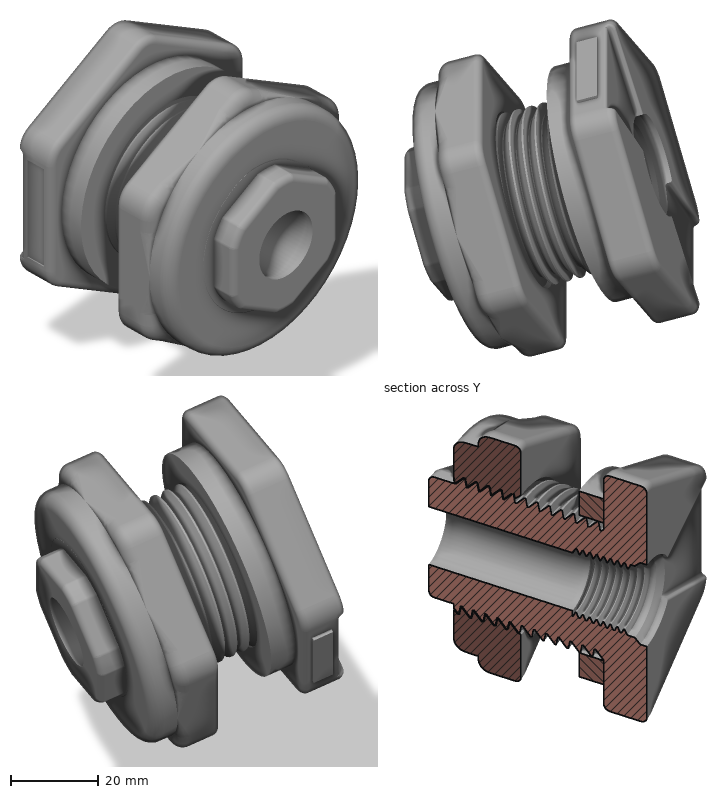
import cadquery as cq
import math


total_length = 55.9
across_flats = 63.0
across_corners = 70.8

head_end = 11.1
gasket_end = 17.4
nut_start = 32.2
nut_hex_end = 43.25
nut_end = 49.55

edge_fillet = 1.7
gasket_diameter = 55.9
gasket_bore = 41.25

thread_root_diameter = 36.3
thread_crest_diameter = 41.1
thread_pitch = 3.1
thread_crest_width = 0.4
thread_steep_flank = 0.4
thread_slope_flank = 2.1
thread_top_crest = 18.75
thread_clearance = 0.1
stem_end_flats = 33.8
stem_corner_fillet = 1.4
stem_end_fillet = 1.55

ridge_embed = 0.15

bore_diameter = 17.3
mouth_diameter = 24.4
mouth_cone_depth = 1.4
pipe_root_diameter = 21.4
pipe_pitch = 1.8
pipe_turns = 9
pipe_ridge_height = 1.5
pipe_crest_width = 0.2
pipe_foot_width = 1.7
pipe_lead = 1.4
pipe_taper = 1 / 32
pipe_start_angle = 11.0

recess_depth = 1.7
recess_center_half_width = 1.8
recess_slope = 0.42
recess_fillet = 0.6
recess_rim_fillet = 0.7
label_center = 6.2
label_width = 5.5
label_length = 26.9
label_depth = 0.3
pad_length = 21.2
pad_width = 4.95
pad_height = 0.8

nut_back_fillet = 3.05
back_fillet_full = 11.3
back_fillet_least = 0.035
nut_mouth_diameter = 42.0

spare = 0.7

half_flats = across_flats / 2
corner_ratio = 1 / math.cos(math.radians(30))
corner_radius = (half_flats * corner_ratio - across_corners / 2) / (corner_ratio - 1)
pipe_start = recess_depth + mouth_cone_depth
pipe_length = pipe_pitch * pipe_turns


def cross_section(x):
    """Workplane facing +X at station x, with local x = Y and local y = Z."""
    return cq.Workplane("YZ", origin=(x, 0, 0))


def cylinder(x_start, x_end, diameter):
    return cross_section(x_start).circle(diameter / 2).extrude(x_end - x_start)


def hexagon(x_start, x_end, flats):
    """Sharp hexagonal prism with two flats facing +Y and -Y."""
    return cross_section(x_start).polygon(6, flats, circumscribed=True).extrude(x_end - x_start)


def rounded_hexagon(x_start, x_end):
    return hexagon(x_start, x_end, across_flats).edges("|X").fillet(corner_radius)


def cone(x_start, x_end, radius_start, radius_end):
    return (
        cq.Workplane("XZ")
        .polyline([(x_start, 0), (x_start, radius_start), (x_end, radius_end), (x_end, 0)])
        .close()
        .revolve(360, (0, 0, 0), (1, 0, 0))
    )


def helical_ridge(helix, profile, start, start_angle):
    """Sweep a closed (axial, radial) profile along a helix that is laid along +X.

    The ridge starts at the given x and at start_angle from +Y towards +Z.
    """
    ridge = (
        cq.Workplane("XZ")
        .polyline([(radial, axial) for axial, radial in profile])
        .close()
        .sweep(cq.Workplane(helix), isFrenet=True)
    )
    ridge = ridge.rotate((0, 0, 0), (1, 1, 1), 120)
    return ridge.rotate((0, 0, 0), (1, 0, 0), start_angle).translate((start, 0, 0))


def threaded_rod(x_start, x_end, clearance):
    """Stem with the external thread, enlarged all over by the clearance."""
    root = thread_root_diameter / 2 + clearance
    crest = thread_crest_diameter / 2 + clearance
    half_crest = thread_crest_width / 2 + clearance / 2
    steep_foot = -half_crest - thread_steep_flank
    slope_foot = half_crest + thread_slope_flank
    profile = [
        (steep_foot, root - ridge_embed),
        (-half_crest, crest),
        (half_crest, crest),
        (slope_foot, root - ridge_embed),
    ]
    turns_before = math.ceil((thread_top_crest - x_start) / thread_pitch) + 1
    ridge_start = thread_top_crest - turns_before * thread_pitch
    turns = math.ceil((x_end - ridge_start) / thread_pitch) + 1
    helix = cq.Wire.makeHelix(thread_pitch, turns * thread_pitch, root, lefthand=True)
    ridge = helical_ridge(helix, profile, ridge_start, 90)
    ridge_end = ridge_start + turns * thread_pitch
    rod = cylinder(ridge_start - thread_pitch, ridge_end + thread_pitch, 2 * root).union(ridge)
    return rod.intersect(cylinder(x_start, x_end, 2 * (crest + spare)))


def head():
    return rounded_hexagon(0, head_end).faces("<X or >X").edges().fillet(edge_fillet)


def head_recess(side):
    """Shallow fan-shaped recess of the head face, opening towards +Y or -Y."""
    reach = across_corners / 2
    spread = recess_center_half_width + recess_slope * reach
    fan = (
        cross_section(0)
        .polyline([
            (0, -recess_center_half_width),
            (side * reach, -spread),
            (side * reach, spread),
            (0, recess_center_half_width),
        ])
        .close()
        .extrude(recess_depth)
    )
    return fan.faces(">X").edges("not |Z").fillet(recess_fillet)


def recess_lips(body):
    """The sloping edges where the recess walls meet the head face."""
    middle = half_flats / 2
    height = recess_center_half_width + recess_slope * middle
    lips = body.newObject([])
    for side_y in (-1, 1):
        for side_z in (-1, 1):
            lip = cq.selectors.NearestToPointSelector((0, side_y * middle, side_z * height))
            lips = lips.add(body.edges(lip))
    return lips


def recess_rim_rounding(side):
    """Cutter that rounds the edge between the recess floor and the hexagon flat."""
    radius = recess_rim_fillet
    half_length = recess_center_half_width + recess_slope * half_flats - recess_fillet
    corner = (
        cq.Workplane("XY", origin=(recess_depth, half_flats, -half_length))
        .moveTo(0, -radius)
        .radiusArc((radius, 0), radius)
        .lineTo(0, 0)
        .close()
        .extrude(2 * half_length)
    )
    return corner if side > 0 else corner.mirror("XZ")


def stem_end():
    blank = hexagon(nut_end, total_length, stem_end_flats)
    blank = blank.intersect(cylinder(nut_end, total_length, thread_root_diameter))
    blank = blank.edges("|X").fillet(stem_corner_fillet)
    return blank.faces(">X").edges().fillet(stem_end_fillet)


def pipe_bore():
    """Everything removed through the stem: mouth recess, tapered pipe thread and plain bore."""
    root_start = pipe_root_diameter / 2
    root_end = root_start - pipe_length * pipe_taper
    pipe_end = pipe_start + pipe_length
    threaded = cone(pipe_start, pipe_end, root_start, root_end).cut(pipe_ridge(root_start))
    mouth = cylinder(0, recess_depth, mouth_diameter)
    mouth_cone = cone(recess_depth, pipe_start, mouth_diameter / 2, root_start)
    bore = cylinder(pipe_end, total_length, bore_diameter)
    return mouth.union(mouth_cone).union(threaded).union(bore)


def pipe_ridge(root_radius):
    """Right-hand V ridge that narrows with the pipe taper."""
    half_foot = pipe_foot_width / 2
    profile = [
        (-half_foot, root_radius + ridge_embed),
        (-pipe_crest_width / 2, root_radius - pipe_ridge_height),
        (pipe_crest_width / 2, root_radius - pipe_ridge_height),
        (half_foot, root_radius + ridge_embed),
    ]
    taper_angle = math.degrees(math.atan(pipe_taper))
    helix = cq.Wire.makeHelix(pipe_pitch, pipe_length, root_radius, angle=-taper_angle)
    return helical_ridge(helix, profile, pipe_start + pipe_lead, pipe_start_angle)


def flat_block(side, width_x, length_z, depth_below, height_above):
    """Block at the label place, across the hexagon flat that faces the given side of Y."""
    block = cq.Workplane("XY").box(width_x, depth_below + height_above, length_z)
    middle_y = half_flats + (height_above - depth_below) / 2
    return block.translate((label_center, side * middle_y, 0))


def make_fitting():
    body = head()
    for side in (-1, 1):
        body = body.cut(head_recess(side))
    body = body.cut(cylinder(0, recess_depth, mouth_diameter))
    body = recess_lips(body).fillet(recess_fillet)
    for side in (-1, 1):
        body = body.cut(recess_rim_rounding(side))
    body = body.cut(flat_block(-1, label_width, label_length, label_depth, spare))
    body = body.union(flat_block(1, pad_width, pad_length, spare, pad_height))
    body = body.union(threaded_rod(head_end, nut_end, 0)).union(stem_end())
    return body.cut(pipe_bore())


def make_gasket():
    ring = cylinder(head_end, gasket_end, gasket_diameter)
    return ring.cut(cylinder(head_end, gasket_end, gasket_bore))


def back_fillet_section(z, radius):
    """Wire of the material outside a rounded edge between the +Y flat and the back face."""
    diagonal = radius * math.cos(math.radians(45))
    center_x = nut_hex_end - radius
    center_y = half_flats - radius
    section = (
        cq.Workplane("XY", origin=(0, 0, z))
        .moveTo(center_x, half_flats)
        .threePointArc((center_x + diagonal, center_y + diagonal), (nut_hex_end, center_y))
        .lineTo(nut_hex_end + spare, center_y)
        .lineTo(nut_hex_end + spare, half_flats + spare)
        .lineTo(center_x, half_flats + spare)
        .close()
    )
    return section.val()


def back_rounding():
    """Cutter for the back edges: full at the corners, fading to nothing at the middle of each flat."""
    blank = rounded_hexagon(nut_start, nut_hex_end)
    cutter = blank.cut(blank.faces(">X").edges().fillet(nut_back_fillet))
    middle = cq.Workplane("XY").box(2 * nut_end, 2 * across_corners, 2 * back_fillet_full)
    wedge = cq.Workplane(cq.Solid.makeLoft(
        [back_fillet_section(0, back_fillet_least), back_fillet_section(back_fillet_full, nut_back_fillet)],
        True,
    ))
    wedges = wedge.union(wedge.mirror("XY"))
    for side in range(6):
        cutter = cutter.cut(middle.rotate((0, 0, 0), (1, 0, 0), 60 * side))
    for side in range(6):
        cutter = cutter.union(wedges.rotate((0, 0, 0), (1, 0, 0), 60 * side))
    return cutter


def nut_bore():
    chamfer_depth = (nut_mouth_diameter - thread_root_diameter) / 2
    mouth = cone(nut_start, nut_start + chamfer_depth, nut_mouth_diameter / 2, thread_root_diameter / 2)
    return threaded_rod(nut_start, nut_end, thread_clearance).union(mouth)


def make_nut():
    body = rounded_hexagon(nut_start, nut_hex_end).faces("<X").edges().fillet(edge_fillet)
    body = body.cut(back_rounding())
    flange = cylinder(nut_hex_end, nut_end, across_flats)
    flange = flange.faces(">X").edges().fillet(nut_back_fillet)
    return body.union(flange).cut(nut_bore())


fitting = make_fitting()
gasket = make_gasket()
nut = make_nut()
result = cq.Compound.makeCompound([fitting.val(), gasket.val(), nut.val()])